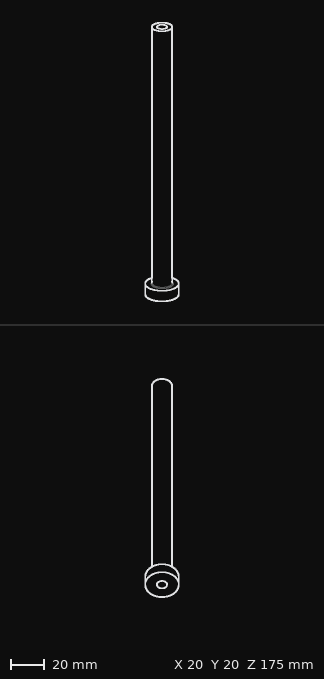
import cadquery as cq

total_length = 175.0
head_diameter = 20.0
head_height = 7.0
shank_diameter = 12.0
bore_diameter = 6.0
neck_fillet_radius = 0.5

head = cq.Workplane("XY").circle(head_diameter / 2).extrude(head_height)

shank = cq.Workplane("XY").circle(shank_diameter / 2).extrude(total_length)

neck_corner = cq.selectors.RadiusNthSelector(0)
pin = head.union(shank)
pin = pin.faces(cq.selectors.NearestToPointSelector((0, 0, head_height))).edges(neck_corner)
pin = pin.fillet(neck_fillet_radius)

result = pin.faces(">Z").workplane().hole(bore_diameter)